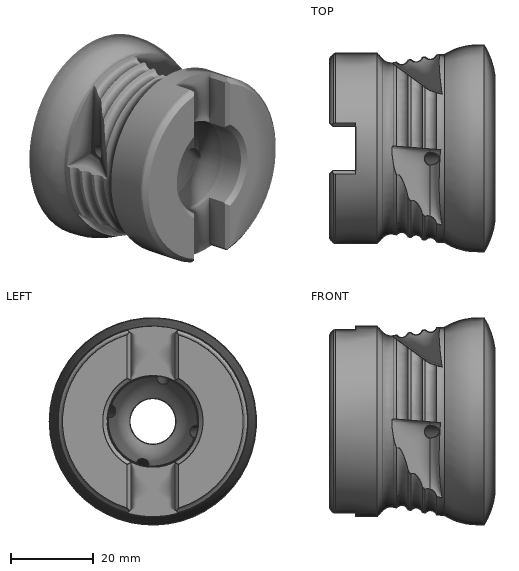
import math

import cadquery as cq

LENGTH = 39.94
FLUTE_COUNT = 4

HEAD_R = 23.0
HEAD_FACE_R = 21.8
HEAD_EDGE_BREAK = (0.3, 22.1)
HEAD_CHAMFER_END = (1.0, 22.85)
HEAD_ROUND_END_X = 1.4
HEAD_END_X = 11.45
NECK_TAPER_X = 12.85
NECK_TAPER_R = 21.5

LAND_START_X = 15.5
LAND_START_R = 20.72
LAND_LENGTH = 0.7
LAND_RISE = 0.15
TOOTH_PITCH = 3.45
TOOTH_STEP_R = 0.63
TOOTH_COUNT = 3
GROOVE_DEPTH = 0.6
GROOVE_BOTTOM_X = 1.4

COLLAR_START_X = 27.7
COLLAR_START_R = 22.68
COLLAR_START_DIRECTION = (1, 0.55)
COLLAR_FLARE_MID = (31.0, 24.22)
COLLAR_FLARE_END = (34.4, 24.92)
COLLAR_END_X = 37.3
COLLAR_R = 25.0
NOSE_MID = (39.0, 21.45)
NOSE_FACE_R = 17.5

BORE_R = 22.0 / 2
RELIEF_R = 22.3 / 2
THROUGH_R = 11.0 / 2
BORE_CHAMFER = 1.1
RELIEF_START_X = 7.6
RELIEF_END_X = 15.5
CONE_START_X = 16.7
CONE_START_R = 10.75
CONE_HALF_ANGLE = 59.0

SLOT_WIDTH = 10.6
SLOT_DEPTH = 6.3
SLOT_CHAMFER = 0.9

POCKET_START = (14.9, 20.75)
POCKET_FLOOR_BREAK = (24.2, 14.0)
POCKET_FLOOR_END = (29.0, 12.6)
POCKET_WALL_Z = 0.65
POCKET_TILT = 4.5
POCKET_TOP_R = 27.0
POCKET_TOP_LENGTH = 11.1
POCKET_END_UNDERCUT = 0.19
POCKET_LEAD = 2.0
POCKET_WIDTH = 32.0
POCKET_FILLET = 0.4

COOLANT_D = 3.0
COOLANT_X = 24.35
COOLANT_Y = -13.95
COOLANT_Z = -2.46
COOLANT_ANGLE = 64.0
COOLANT_INNER_LENGTH = 10.5
COOLANT_OUTER_LENGTH = 2.5

ORIGIN = (0, 0, 0)
X_AXIS_END = (1, 0, 0)
Y_AXIS_END = (0, 1, 0)


def revolve_about_x(profile):
    return profile.close().revolve(360, ORIGIN, X_AXIS_END)


def make_body():
    profile = (
        cq.Workplane("XY")
        .lineTo(0, HEAD_FACE_R)
        .lineTo(*HEAD_EDGE_BREAK)
        .lineTo(*HEAD_CHAMFER_END)
        .lineTo(HEAD_ROUND_END_X, HEAD_R)
        .lineTo(HEAD_END_X, HEAD_R)
        .lineTo(NECK_TAPER_X, NECK_TAPER_R)
        .tangentArcPoint((LAND_START_X, LAND_START_R), relative=False)
    )
    for tooth in range(TOOTH_COUNT):
        land_x = LAND_START_X + tooth * TOOTH_PITCH
        land_r = LAND_START_R + tooth * TOOTH_STEP_R
        next_land = (land_x + TOOTH_PITCH, land_r + TOOTH_STEP_R)
        groove_x = land_x + LAND_LENGTH
        groove_r = land_r + LAND_RISE
        groove_bottom = (groove_x + GROOVE_BOTTOM_X, groove_r - GROOVE_DEPTH)
        profile = profile.lineTo(groove_x, groove_r).threePointArc(groove_bottom, next_land)
    profile = (
        profile.lineTo(COLLAR_START_X, COLLAR_START_R)
        .spline(
            [COLLAR_FLARE_MID, COLLAR_FLARE_END, (COLLAR_END_X, COLLAR_R)],
            tangents=[COLLAR_START_DIRECTION, (1, 0)],
            includeCurrent=True,
        )
        .threePointArc(NOSE_MID, (LENGTH, NOSE_FACE_R))
        .lineTo(LENGTH, 0)
    )
    return revolve_about_x(profile)


def make_bore():
    cone_length = (CONE_START_R - THROUGH_R) / math.tan(math.radians(CONE_HALF_ANGLE))
    profile = (
        cq.Workplane("XY")
        .lineTo(0, BORE_R + BORE_CHAMFER)
        .lineTo(BORE_CHAMFER, BORE_R)
        .lineTo(RELIEF_START_X, BORE_R)
        .lineTo(RELIEF_START_X, RELIEF_R)
        .lineTo(RELIEF_END_X, RELIEF_R)
        .lineTo(CONE_START_X, CONE_START_R)
        .lineTo(CONE_START_X + cone_length, THROUGH_R)
        .lineTo(LENGTH, THROUGH_R)
        .lineTo(LENGTH, 0)
    )
    return revolve_about_x(profile)


def make_slot():
    """Drive slot along Z, with chamfers along the face and at both outer ends."""
    half = SLOT_WIDTH / 2
    flare = half + SLOT_CHAMFER
    slot = (
        cq.Workplane("XY")
        .moveTo(0, -flare)
        .lineTo(SLOT_CHAMFER, -half)
        .lineTo(SLOT_DEPTH, -half)
        .lineTo(SLOT_DEPTH, half)
        .lineTo(SLOT_CHAMFER, half)
        .lineTo(0, flare)
        .close()
        .extrude(HEAD_R, both=True)
    )
    flare_z = math.sqrt(HEAD_R**2 - flare**2)
    for side in (1, -1):
        end_chamfer = (
            cq.Workplane("YZ")
            .polyline([
                (-half, side * (flare_z - SLOT_CHAMFER)),
                (half, side * (flare_z - SLOT_CHAMFER)),
                (flare, side * flare_z),
                (flare, side * HEAD_R),
                (-flare, side * HEAD_R),
                (-flare, side * flare_z),
            ])
            .close()
            .extrude(SLOT_DEPTH)
        )
        slot = slot.union(end_chamfer)
    return slot


def make_flute_cutter():
    """Pocket with a two-slope floor, a tilted side wall near z = 0 and an undercut end wall."""
    start_x, start_r = POCKET_START
    break_x, break_r = POCKET_FLOOR_BREAK
    end_x, end_r = POCKET_FLOOR_END
    lead_r = start_r + POCKET_LEAD * (start_r - break_r) / (break_x - start_x)
    above_floor = (
        cq.Workplane("XY")
        .polyline([
            (start_x - POCKET_LEAD, -lead_r),
            (break_x, -break_r),
            (end_x, -end_r),
            (end_x, -POCKET_TOP_R),
            (start_x - POCKET_LEAD, -POCKET_TOP_R),
        ])
        .close()
        .extrude(POCKET_WIDTH, both=True)
    )
    wall_lead = 2 * POCKET_LEAD
    between_walls = (
        cq.Workplane("XY")
        .polyline([
            (-wall_lead, 0),
            (POCKET_TOP_LENGTH + POCKET_END_UNDERCUT * POCKET_TOP_R, 0),
            (POCKET_TOP_LENGTH, -POCKET_TOP_R),
            (-wall_lead, -POCKET_TOP_R),
        ])
        .close()
        .extrude(-POCKET_WIDTH)
        .rotate(ORIGIN, Y_AXIS_END, POCKET_TILT)
        .translate((start_x, 0, POCKET_WALL_Z))
    )
    pocket = above_floor.intersect(between_walls)
    steep_corner = cq.selectors.NearestToPointSelector(((start_x + break_x) / 2, -(start_r + break_r) / 2, 0))
    flat_corner = cq.selectors.NearestToPointSelector(((break_x + end_x) / 2, -(break_r + end_r) / 2, 0))
    return pocket.edges(steep_corner + flat_corner).fillet(POCKET_FILLET)


def make_coolant_hole():
    angle = math.radians(COOLANT_ANGLE)
    outward = cq.Vector(math.sin(angle), -math.cos(angle), 0)
    start = cq.Vector(COOLANT_X, COOLANT_Y, COOLANT_Z) - outward * COOLANT_INNER_LENGTH
    length = COOLANT_INNER_LENGTH + COOLANT_OUTER_LENGTH
    return cq.Workplane(cq.Solid.makeCylinder(COOLANT_D / 2, length, start, outward))


result = make_body().cut(make_bore()).cut(make_slot())
flute_cutter = make_flute_cutter()
coolant_hole = make_coolant_hole()
for flute in range(FLUTE_COUNT):
    turn = flute * 360 / FLUTE_COUNT
    result = result.cut(flute_cutter.rotate(ORIGIN, X_AXIS_END, turn))
    result = result.cut(coolant_hole.rotate(ORIGIN, X_AXIS_END, turn))